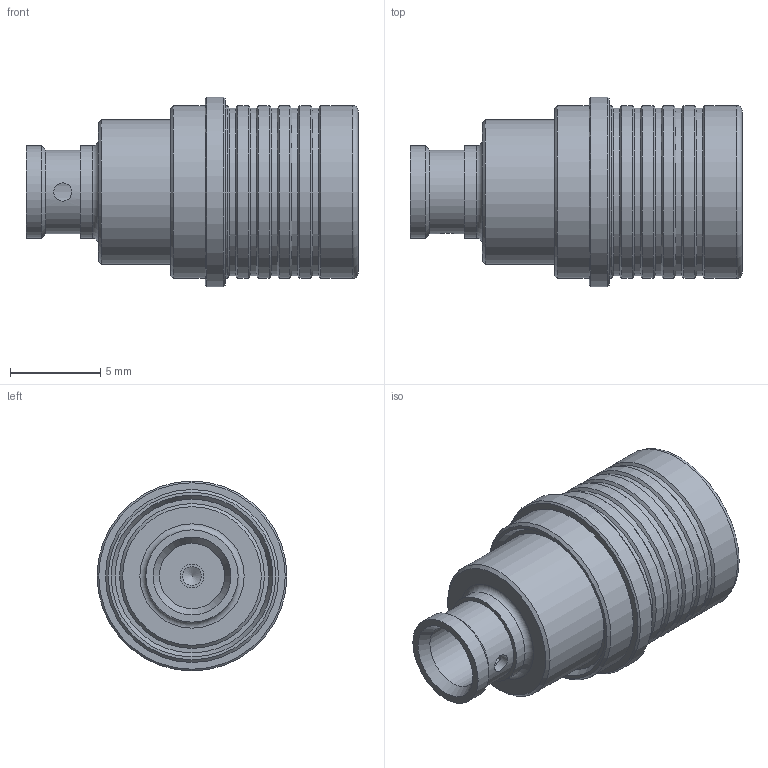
import cadquery as cq
length = 18.35

tail_radius = 2.55
tail_lip_end = 0.85
waist_radius = 2.32
collar_start = 3.0
barrel_start = 4.0
barrel_radius = 4.0
barrel_bevel = 0.17
tail_fillet = 0.33

bore_radius = 1.8
bore_bevel_length = 0.58
bore_bevel_depth = 0.35
bore_depth = barrel_start
side_hole_x = 2.03
side_hole_diameter = 1.0

sleeve_start = 8.0
sleeve_radius = 4.78
sleeve_front_bevel = 0.15
sleeve_end_fillet = 0.3
flange_start = 9.9
flange_width = 1.1
flange_radius = 5.25
flange_bevel = 0.1
flange_end = flange_start + flange_width

shoulder_radius = 4.25
mouth_bevel_depth = 0.22
mouth_bevel_length = 0.38
shoulder_start = sleeve_start + mouth_bevel_length

groove_count = 5
groove_start = 11.14
groove_pitch = 1.15
groove_width = 0.55
groove_side_run = 0.11
groove_depth = 0.15

contact_radius = 0.65
cup_radius = 0.52
cup_depth = 2.0
cup_tip_depth = 0.3


def revolve_about_x(outline):
    """Turn a closed XY outline a full revolution about the X axis."""
    return outline.close().revolve(360, (0, 0, 0), (1, 0, 0))


def make_housing():
    fillet_start = barrel_start - tail_fillet
    outline = (
        cq.Workplane("XY")
        .moveTo(0, bore_radius + bore_bevel_depth)
        .lineTo(0, tail_radius)
        .lineTo(tail_lip_end, tail_radius)
        .lineTo(tail_lip_end + tail_radius - waist_radius, waist_radius)
        .lineTo(collar_start, waist_radius)
        .lineTo(collar_start, tail_radius)
        .lineTo(fillet_start, tail_radius)
        .radiusArc((barrel_start, tail_radius + tail_fillet), -tail_fillet)
        .lineTo(barrel_start, barrel_radius - barrel_bevel)
        .lineTo(barrel_start + barrel_bevel, barrel_radius)
        .lineTo(shoulder_start, barrel_radius)
        .lineTo(shoulder_start, shoulder_radius)
        .lineTo(length, shoulder_radius)
        .lineTo(length, contact_radius)
        .lineTo(bore_depth, contact_radius)
        .lineTo(bore_depth, bore_radius)
        .lineTo(bore_bevel_length, bore_radius)
    )
    side_hole = (
        cq.Workplane("XZ")
        .center(side_hole_x, 0)
        .circle(side_hole_diameter / 2)
        .extrude(tail_radius)
    )
    return revolve_about_x(outline).cut(side_hole)


def make_sleeve():
    outline = (
        cq.Workplane("XY")
        .moveTo(sleeve_start, shoulder_radius + mouth_bevel_depth)
        .lineTo(sleeve_start, sleeve_radius - sleeve_front_bevel)
        .lineTo(sleeve_start + sleeve_front_bevel, sleeve_radius)
        .lineTo(flange_start, sleeve_radius)
        .lineTo(flange_start, flange_radius - flange_bevel)
        .lineTo(flange_start + flange_bevel, flange_radius)
        .lineTo(flange_end - flange_bevel, flange_radius)
        .lineTo(flange_end, flange_radius - flange_bevel)
        .lineTo(flange_end, sleeve_radius)
    )
    groove_floor = sleeve_radius - groove_depth
    for index in range(groove_count):
        start = groove_start + index * groove_pitch
        end = start + groove_width
        outline = (
            outline.lineTo(start, sleeve_radius)
            .lineTo(start + groove_side_run, groove_floor)
            .lineTo(end - groove_side_run, groove_floor)
            .lineTo(end, sleeve_radius)
        )
    outline = (
        outline.lineTo(length - sleeve_end_fillet, sleeve_radius)
        .radiusArc((length, sleeve_radius - sleeve_end_fillet), sleeve_end_fillet)
        .lineTo(length, shoulder_radius)
        .lineTo(shoulder_start, shoulder_radius)
    )
    return revolve_about_x(outline)


def make_contact():
    cup_end = bore_depth + cup_depth
    outline = (
        cq.Workplane("XY")
        .moveTo(bore_depth, cup_radius)
        .lineTo(bore_depth, contact_radius)
        .lineTo(length, contact_radius)
        .lineTo(length, 0)
        .lineTo(cup_end + cup_tip_depth, 0)
        .lineTo(cup_end, cup_radius)
    )
    return revolve_about_x(outline)


housing = make_housing()
sleeve = make_sleeve()
contact = make_contact()

result = cq.Compound.makeCompound([housing.val(), sleeve.val(), contact.val()])